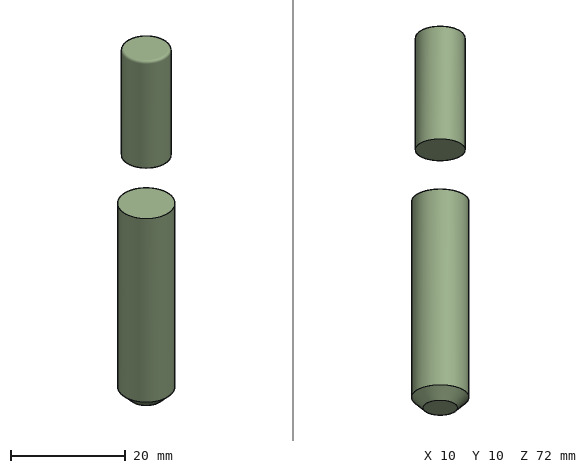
import cadquery as cq

TOTAL_HEIGHT = 72.0
PIN_LENGTH = 22.0
GAP = 10.0
ROD_LENGTH = TOTAL_HEIGHT - PIN_LENGTH - GAP

ROD_DIAMETER = 10.0
TIP_HEIGHT = 2.0
TIP_DIAMETER = 6.0
TIP_INSET = (ROD_DIAMETER - TIP_DIAMETER) / 2

PIN_DIAMETER = 8.7
PIN_FILLET = 0.5


def make_rod():
    """Cylinder standing on Z = 0, narrowed to a cone at its lower end."""
    rod = cq.Workplane("XY").circle(ROD_DIAMETER / 2).extrude(ROD_LENGTH)
    return rod.faces("<Z").chamfer(TIP_HEIGHT, TIP_INSET)


def make_pin():
    """Cylinder held above the rod by the gap, rounded at its top rim."""
    pin_base = ROD_LENGTH + GAP
    pin = cq.Workplane("XY").workplane(offset=pin_base).circle(PIN_DIAMETER / 2).extrude(PIN_LENGTH)
    return pin.faces(">Z").edges().fillet(PIN_FILLET)


rod = make_rod()
pin = make_pin()

result = cq.Compound.makeCompound([rod.val(), pin.val()])